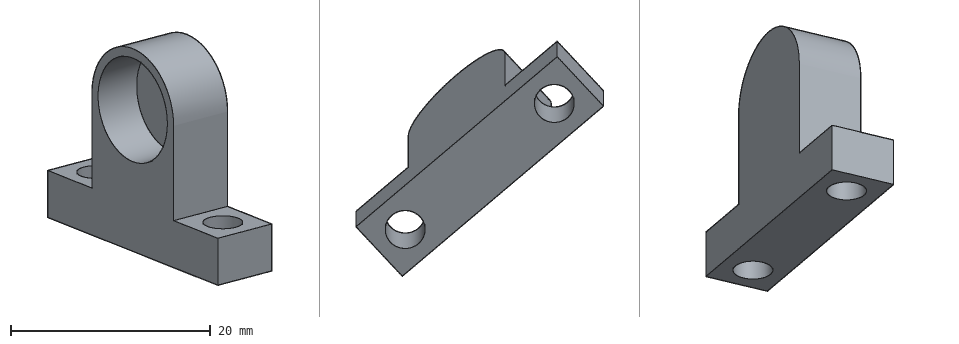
import cadquery as cq

base_length = 27.0
depth = 7.0
base_height = 5.0
boss_width = 13.0
axis_height = 15.0
pocket_diameter = 11.0
pocket_depth = 5.0
bolt_diameter = 4.0
bolt_spacing = 20.0

boss_radius = boss_width / 2
front_y = -depth / 2


def make_base():
    """Flat foot, resting on Z = 0 and centred on X and Y."""
    return cq.Workplane("XY").box(base_length, depth, base_height, centered=(True, True, False))


def make_boss():
    """Upright with a half-round top, running through the full depth."""
    return (
        cq.Workplane("XZ", origin=(0, front_y, 0))
        .moveTo(-boss_radius, 0)
        .lineTo(boss_radius, 0)
        .lineTo(boss_radius, axis_height)
        .threePointArc((0, axis_height + boss_radius), (-boss_radius, axis_height))
        .close()
        .extrude(-depth)
    )


def make_pocket():
    """Blind round pocket opening on the front (-Y) face."""
    return (
        cq.Workplane("XZ", origin=(0, front_y, axis_height))
        .circle(pocket_diameter / 2)
        .extrude(-pocket_depth)
    )


def make_bolt_holes():
    """Vertical through holes, one in each end of the foot."""
    return (
        cq.Workplane("XY")
        .pushPoints([(side * bolt_spacing / 2, 0) for side in (-1, 1)])
        .circle(bolt_diameter / 2)
        .extrude(base_height)
    )


result = make_base().union(make_boss()).cut(make_pocket()).cut(make_bolt_holes())